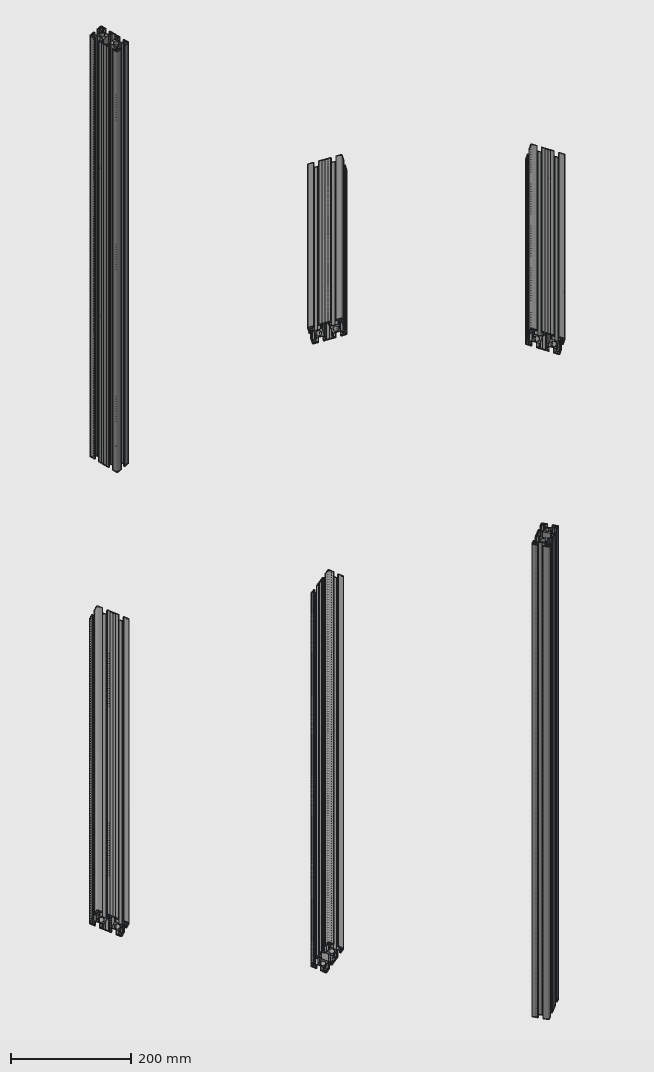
import cadquery as cq

length = 1000.0
module = 30.0
cells = 2
width = cells * module
depth = module
corner_radius = 2.0

slot_mouth = 8.2
mouth_recess_width = 9.2
mouth_recess_depth = 0.3
lip_thickness = 2.2
slot_inner_width = 16.0
slot_wall_depth = 5.3
slot_floor_width = 11.0
slot_depth = 8.5

groove_width = 2.4
groove_depth = 0.3

bore_diameter = 9.6
corner_hole_diameter = 3.4
corner_hole_inset = 3.2

chamber_wall = 1.3
chamber_half_height = depth / 2 - chamber_wall
chamber_waist_half_width = 7.0
chamber_waist_half_height = 6.8
chamber_end_half_width = 5.0
chamber_shoulder_half_height = 9.4

cell_centres = [(index - (cells - 1) / 2) * module for index in range(cells)]


def bar():
    blank = cq.Workplane("XY").rect(width, depth).extrude(length)
    return blank.edges("|Z").fillet(corner_radius)


def round_holes(points, diameter):
    return cq.Workplane("XY").pushPoints(points).circle(diameter / 2).extrude(length)


def core_bores():
    return round_holes([(x, 0) for x in cell_centres], bore_diameter)


def corner_holes():
    hole_x = width / 2 - corner_hole_inset
    hole_y = depth / 2 - corner_hole_inset
    points = [(side * hole_x, end * hole_y) for side in (-1, 1) for end in (-1, 1)]
    return round_holes(points, corner_hole_diameter)


def chamber():
    right_upper = [
        (chamber_waist_half_width, chamber_waist_half_height),
        (chamber_end_half_width, chamber_shoulder_half_height),
        (chamber_end_half_width, chamber_half_height),
    ]
    left_upper = [(-x, y) for x, y in reversed(right_upper)]
    upper = right_upper + left_upper
    lower = [(-x, -y) for x, y in upper]
    return cq.Workplane("XY").polyline(upper + lower).close().extrude(length)


def face_cut(half_outline, face_distance, offset, angle):
    """Full-length cut into an outer face, mirrored about its own centre line.

    half_outline holds (half width, depth below the face) and ends on the centre line.
    The cut is placed at x = offset in a face at y = face_distance, then turned about Z.
    """
    right = [(offset + x, face_distance - y) for x, y in half_outline]
    left = [(offset - x, face_distance - y) for x, y in reversed(half_outline[:-1])]
    prism = cq.Workplane("XY").polyline(right + left).close().extrude(length)
    return prism.rotate((0, 0, 0), (0, 0, 1), angle)


def marking_groove_outline(start_depth):
    return [(groove_width / 2, start_depth), (0, start_depth + groove_depth)]


def t_slot_outline():
    return [
        (mouth_recess_width / 2, 0),
        (mouth_recess_width / 2, mouth_recess_depth),
        (slot_mouth / 2, mouth_recess_depth),
        (slot_mouth / 2, lip_thickness),
        (slot_inner_width / 2, lip_thickness),
        (slot_inner_width / 2, slot_wall_depth),
        (slot_floor_width / 2, slot_depth),
    ] + marking_groove_outline(slot_depth)


result = bar().cut(core_bores()).cut(corner_holes()).cut(chamber())

for angle in (0, 180):
    for centre in cell_centres:
        result = result.cut(face_cut(t_slot_outline(), depth / 2, centre, angle))
    result = result.cut(face_cut(marking_groove_outline(0), depth / 2, 0, angle))

for angle in (90, 270):
    result = result.cut(face_cut(t_slot_outline(), width / 2, 0, angle))